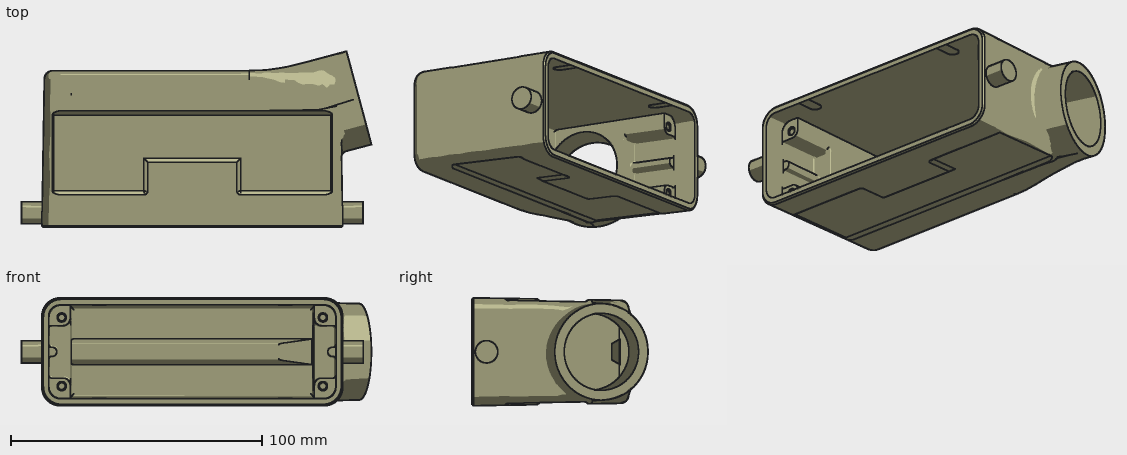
import cadquery as cq
import math


TOTAL_LENGTH = 139.3
DRAFT = 0.95

BODY_LENGTH = 119.8
BODY_WIDTH = 43.0
BODY_HEIGHT = 62.4
CORNER_RADIUS = 7.5
TOP_FILLET = 3.5
RIM_CHAMFER = 0.7

PIN_RADIUS = 4.5
PIN_HEIGHT = 5.9
PIN_END = 68.0
PIN_INSET = 0.3

OUTLET_TILT = 15.0
OUTLET_RADIUS = 19.2
OUTLET_FACE_Y = 51.5
OUTLET_LENGTH = 15.3
OUTLET_FILLET = 2.1
BORE_RADIUS = 15.3

BEND_START_X = 22.5
SECTION_DEPTH = 20.9
SHOULDER_STEP_X = 50.1
SHOULDER_STEP_Y = 46.8
SHOULDER_END_Y = 48.8
CROWN_FLAT = 0.1
BEND_STEPS = 4
STRAIGHT_STEPS = 4

RECESS_LENGTH = 112.0
RECESS_BOTTOM = 13.0
RECESS_TOP = 46.4
RECESS_DEPTH = 1.18
RECESS_SLOPE_RUN = 1.7
TAB_HALF_WIDTH = 19.4
TAB_TOP = 27.6

CAVITY_LENGTH = 114.4
CAVITY_WIDTH = 37.3
CAVITY_RADIUS = 4.7
CAVITY_DEPTH = 59.0
CAVITY_FILLET = 1.1

BLOCK_FACE_BOTTOM = 48.6
BLOCK_FACE_TOP = 48.0
LEDGE_HEIGHT = 27.9
LEDGE_FILLET = 1.0
POST_TOP = 9.0
POST_INNER_Z = 10.5
POST_FILLET = 2.8
SCREW_HOLE_X = 52.0
SCREW_HOLE_Z = 13.7
SCREW_HOLE_RADIUS = 1.4
SCREW_HOLE_DEPTH = 13.9
SCREW_HOLE_CHAMFER = 0.4

RIB_RADIUS = 1.8
RIB_X = 55.7
RIB_BOTTOM = 9.8

RIDGE_BASE_HALF_WIDTH = 5.2
RIDGE_TOP_HALF_WIDTH = 3.2
RIDGE_HEIGHT = 3.5
RIDGE_RAMP_START = 34.3
RIDGE_FILLET = 1.0

SLOT_X = 37.0
SLOT_WIDTH = 5.2
SLOT_LENGTH = 9.0

SIDES = (-1, 1)
TOLERANCE = 0.1
tilt = math.radians(OUTLET_TILT)
outlet_face_x = TOTAL_LENGTH - PIN_END - OUTLET_RADIUS * math.sin(tilt)
wall_slope = math.tan(math.radians(DRAFT))
half_width_top = BODY_WIDTH / 2 - BODY_HEIGHT * wall_slope


def drafted_box(length, width, height, radius):
    """Box rising from y = 0 with rounded upright corners and drafted walls."""
    outline = cq.Sketch().rect(width, length).vertices().fillet(radius)
    return cq.Workplane("ZX").placeSketch(outline).extrude(height, taper=DRAFT)


def y_cylinder(radius, x, z, bottom, top):
    return cq.Workplane("ZX", origin=(x, bottom, z)).circle(radius).extrude(top - bottom)


def block(x_range, y_range, z_range):
    sizes = [high - low for low, high in (x_range, y_range, z_range)]
    corner = (x_range[0], y_range[0], z_range[0])
    return cq.Workplane("XY").box(*sizes, centered=False).translate(corner)


def edges_in(x_range, y_range, half_width):
    """Selector for edges centred inside a box symmetric about z = 0."""
    low = (x_range[0], y_range[0], -half_width)
    high = (x_range[1], y_range[1], half_width)
    return cq.selectors.BoxSelector(low, high)


def at_height(y):
    return (y - TOLERANCE, y + TOLERANCE)


def make_body():
    body = drafted_box(BODY_LENGTH, BODY_WIDTH, BODY_HEIGHT, CORNER_RADIUS)
    body = body.faces(">Y").edges().fillet(TOP_FILLET)
    return body.faces("<Y").edges().chamfer(RIM_CHAMFER)


def shoulder_section(x, y, angle, half_width, radius, depth, lean):
    """Upright section with rounded top corners, its top edge centred on (x, y).

    half_width is measured where the corners end; below that the sides flare out by lean.
    """
    direction = (math.cos(angle), math.sin(angle), 0)
    plane = cq.Plane(origin=(x, y, 0), xDir=(0, 0, -1), normal=direction)
    shift = radius * (1 - math.sqrt(0.5))
    flat = half_width - radius
    foot = half_width + (depth - radius) * lean
    return (
        cq.Workplane(plane)
        .moveTo(-foot, -depth)
        .lineTo(-half_width, -radius)
        .threePointArc((-half_width + shift, -shift), (-flat, 0))
        .lineTo(flat, 0)
        .threePointArc((half_width - shift, -shift), (half_width, -radius))
        .lineTo(foot, -depth)
        .close()
        .wire()
        .val()
    )


def make_shoulder():
    end_x = outlet_face_x - OUTLET_RADIUS * math.sin(tilt)
    end_y = OUTLET_FACE_Y + OUTLET_RADIUS * math.cos(tilt)
    knee_x = end_x - (end_y - BODY_HEIGHT) / math.tan(tilt)
    bend_radius = (knee_x - BEND_START_X) / math.tan(tilt / 2)
    stations = []
    for step in range(BEND_STEPS + 1):
        angle = tilt * step / BEND_STEPS
        x = BEND_START_X + bend_radius * math.sin(angle)
        y = BODY_HEIGHT + bend_radius * (1 - math.cos(angle))
        stations.append((x, y, angle))
    bend_end_x, bend_end_y, _ = stations[-1]
    for step in range(1, STRAIGHT_STEPS + 1):
        part = step / STRAIGHT_STEPS
        x = bend_end_x + part * (end_x - bend_end_x)
        y = bend_end_y + part * (end_y - bend_end_y)
        stations.append((x, y, tilt))

    start_width = half_width_top + TOP_FILLET * wall_slope
    final_radius = OUTLET_RADIUS - CROWN_FLAT
    sections = []
    for x, y, angle in stations:
        part = (x - BEND_START_X) / (end_x - BEND_START_X)
        blend = part**2 * (3 - 2 * part)
        half_width = start_width + blend * (OUTLET_RADIUS - start_width)
        radius = TOP_FILLET + blend * (final_radius - TOP_FILLET)
        depth = SECTION_DEPTH + part * (OUTLET_RADIUS - SECTION_DEPTH)
        lean = (1 - blend) * wall_slope
        sections.append(shoulder_section(x, y, angle, half_width, radius, depth, lean))
    return cq.Workplane(cq.Solid.makeLoft(sections))


def outlet_cylinder(radius, length):
    direction = cq.Vector(math.cos(tilt), math.sin(tilt), 0)
    face_center = cq.Vector(outlet_face_x, OUTLET_FACE_Y, 0)
    start = face_center - direction * length
    return cq.Workplane(cq.Solid.makeCylinder(radius, length, start, direction))


def shoulder_clearance():
    """Upper +X corner of the box, which the shoulder replaces."""
    return (
        cq.Workplane("XY", origin=(0, 0, -BODY_WIDTH / 2))
        .moveTo(BEND_START_X, RECESS_TOP)
        .lineTo(SHOULDER_STEP_X, SHOULDER_STEP_Y)
        .lineTo(BODY_LENGTH / 2, SHOULDER_END_Y)
        .lineTo(BODY_LENGTH / 2, BODY_HEIGHT)
        .lineTo(BEND_START_X, BODY_HEIGHT)
        .close()
        .extrude(BODY_WIDTH)
    )


def recess_tool(side):
    """Cutter for one broad side: a notched panel with sloped edges."""
    wall_angle = math.radians(DRAFT)
    middle = (RECESS_BOTTOM + RECESS_TOP) / 2
    wall_z = BODY_WIDTH / 2 - middle * wall_slope
    lean = math.sin(wall_angle)
    floor = cq.Plane(
        origin=(0, middle, side * (wall_z - RECESS_DEPTH)),
        xDir=(side, 0, 0),
        normal=(0, lean, side * math.cos(wall_angle)),
    )
    half_length = RECESS_LENGTH / 2 - RECESS_SLOPE_RUN / 2
    half_height = (RECESS_TOP - RECESS_BOTTOM) / 2 - RECESS_SLOPE_RUN
    tab_top = TAB_TOP - middle
    slope = math.degrees(math.atan(RECESS_SLOPE_RUN / RECESS_DEPTH))
    return (
        cq.Workplane(floor)
        .moveTo(-half_length, half_height)
        .lineTo(half_length, half_height)
        .lineTo(half_length, -half_height)
        .lineTo(TAB_HALF_WIDTH, -half_height)
        .lineTo(TAB_HALF_WIDTH, tab_top)
        .lineTo(-TAB_HALF_WIDTH, tab_top)
        .lineTo(-TAB_HALF_WIDTH, -half_height)
        .lineTo(-half_length, -half_height)
        .close()
        .extrude(2 * RECESS_DEPTH, taper=-slope)
    )


def make_end_block():
    """Solid block at the +X end of the cavity with a ledge between two corner posts."""
    outer_x = BODY_LENGTH / 2
    front_range = (BLOCK_FACE_TOP - 1.4, BLOCK_FACE_BOTTOM + 1.4)
    profile = [
        (BLOCK_FACE_BOTTOM, POST_TOP),
        (BLOCK_FACE_TOP, BODY_HEIGHT),
        (outer_x, BODY_HEIGHT),
        (outer_x, POST_TOP),
    ]
    end_block = (
        cq.Workplane("XY", origin=(0, 0, -BODY_WIDTH / 2)).polyline(profile).close().extrude(BODY_WIDTH)
    )
    gap = block((0, outer_x), (0, LEDGE_HEIGHT), (-POST_INNER_Z, POST_INNER_Z))
    end_block = end_block.cut(gap)
    post_corners = edges_in(front_range, (POST_TOP, LEDGE_HEIGHT - 1.4), POST_INNER_Z + TOLERANCE)
    end_block = end_block.edges(post_corners).fillet(POST_FILLET)
    rib = y_cylinder(RIB_RADIUS, RIB_X, 0, RIB_BOTTOM, LEDGE_HEIGHT)
    rib = rib.union(block((RIB_X, outer_x), (RIB_BOTTOM, LEDGE_HEIGHT), (-RIB_RADIUS, RIB_RADIUS)))
    end_block = end_block.union(rib)
    ledge_edges = edges_in((front_range[0], outer_x - TOLERANCE), at_height(LEDGE_HEIGHT), SCREW_HOLE_Z)
    end_block = end_block.edges(ledge_edges).fillet(LEDGE_FILLET)
    for side in SIDES:
        hole_z = side * SCREW_HOLE_Z
        hole = y_cylinder(SCREW_HOLE_RADIUS, SCREW_HOLE_X, hole_z, POST_TOP, POST_TOP + SCREW_HOLE_DEPTH)
        end_block = end_block.cut(hole)
    hole_rims = edges_in((SCREW_HOLE_X - 1.4, SCREW_HOLE_X + 1.4), at_height(POST_TOP), BODY_WIDTH / 2)
    end_block = end_block.edges("%CIRCLE").edges(hole_rims).chamfer(SCREW_HOLE_CHAMFER)
    return end_block


def make_ridge():
    """Drafted ridge on the cavity floor, ramping down to nothing at its +X end."""
    crest = CAVITY_DEPTH - RIDGE_HEIGHT
    start_x = -BLOCK_FACE_BOTTOM
    length = BLOCK_FACE_BOTTOM + BLOCK_FACE_TOP
    ridge = (
        cq.Workplane("YZ", origin=(start_x, 0, 0))
        .moveTo(BODY_HEIGHT, -RIDGE_BASE_HALF_WIDTH)
        .lineTo(CAVITY_DEPTH, -RIDGE_BASE_HALF_WIDTH)
        .lineTo(crest, -RIDGE_TOP_HALF_WIDTH)
        .lineTo(crest, RIDGE_TOP_HALF_WIDTH)
        .lineTo(CAVITY_DEPTH, RIDGE_BASE_HALF_WIDTH)
        .lineTo(BODY_HEIGHT, RIDGE_BASE_HALF_WIDTH)
        .close()
        .extrude(length)
    )
    ramp = (
        cq.Workplane("XY", origin=(0, 0, -BODY_WIDTH / 2))
        .polyline([(RIDGE_RAMP_START, crest), (BLOCK_FACE_TOP, CAVITY_DEPTH), (BLOCK_FACE_TOP, crest)])
        .close()
        .extrude(BODY_WIDTH)
    )
    ridge = ridge.cut(ramp)
    crest_edges = edges_in((start_x, RIDGE_RAMP_START), at_height(crest), RIDGE_BASE_HALF_WIDTH)
    return ridge.edges("|X").edges(crest_edges).fillet(RIDGE_FILLET)


def make_cavity():
    cavity = drafted_box(CAVITY_LENGTH, CAVITY_WIDTH, CAVITY_DEPTH, CAVITY_RADIUS)
    end_block = make_end_block()
    cavity = cavity.cut(end_block).cut(end_block.mirror("YZ"))
    cavity = cavity.faces(">Y").edges().fillet(CAVITY_FILLET)
    for side in SIDES:
        x_range = sorted((side * RIB_X, side * CAVITY_LENGTH / 2))
        wall_foot = edges_in(x_range, at_height(LEDGE_HEIGHT), SCREW_HOLE_Z)
        cavity = cavity.edges(wall_foot).fillet(LEDGE_FILLET)
    return cavity.cut(make_ridge())


def rim_slot(x, side):
    """Round-ended cutter, flush with the cavity wall at the rim, that the draft makes visible."""
    depth = CAVITY_DEPTH * wall_slope
    end_y = SLOT_LENGTH - SLOT_WIDTH / 2
    base_z = CAVITY_WIDTH / 2 - depth
    round_end = cq.Workplane("XY", origin=(x, end_y, base_z)).circle(SLOT_WIDTH / 2).extrude(depth)
    half = SLOT_WIDTH / 2
    straight = block((x - half, x + half), (0, end_y), (base_z, base_z + depth))
    slot = round_end.union(straight)
    return slot if side > 0 else slot.mirror("XY")


def make_pin(side):
    inner_x = CAVITY_LENGTH / 2 + PIN_INSET
    pin = cq.Workplane("YZ", origin=(side * PIN_END, PIN_HEIGHT, 0)).circle(PIN_RADIUS)
    return pin.extrude(-side * (PIN_END - inner_x))


def make_bore():
    """Cable passage through the +X end block, stopping at the block's inner face."""
    beyond = outlet_face_x + OUTLET_LENGTH
    keep = block((BLOCK_FACE_TOP - TOLERANCE, beyond), (0, beyond), (-OUTLET_RADIUS, OUTLET_RADIUS))
    return outlet_cylinder(BORE_RADIUS, 2 * OUTLET_LENGTH).intersect(keep)


body = make_body().cut(shoulder_clearance())
body = body.union(outlet_cylinder(OUTLET_RADIUS, OUTLET_LENGTH)).union(make_shoulder())
outlet_root = edges_in((CAVITY_LENGTH / 2, BODY_LENGTH / 2 + 1.4), (LEDGE_HEIGHT, RECESS_TOP), OUTLET_RADIUS)
body = body.edges(outlet_root).fillet(OUTLET_FILLET)
for side in SIDES:
    body = body.cut(recess_tool(side))

result = body.cut(make_cavity()).cut(make_bore())
for side in SIDES:
    result = result.union(make_pin(side))
    for slot_side in SIDES:
        result = result.cut(rim_slot(side * SLOT_X, slot_side))